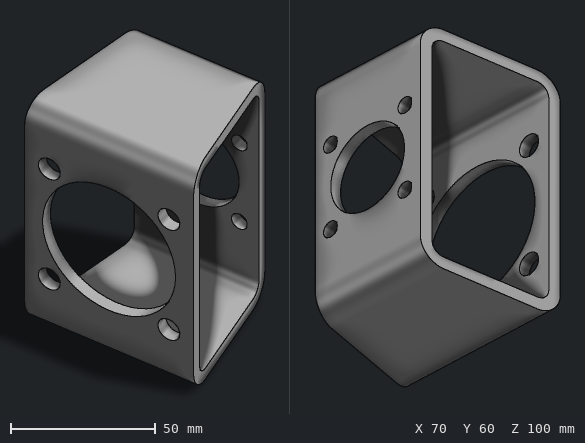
import cadquery as cq
import math

depth = 60.0
height = 100.0
wall = 5.0
outer_radius = 10.0
inner_radius = outer_radius - wall

front_width = 70.0
back_width = 50.0

front_bore = 55.0
front_hole = 9.0
front_bolt_circle = 70.0

back_bore = 35.0
back_hole = 6.5
back_bolt_circle = 50.0


def rounded_bar(bar_depth, bar_height, radius):
    """Bar along X, as long as the front wall, with rounded long edges."""
    return cq.Workplane("XY").box(front_width, bar_depth, bar_height).edges("|X").fillet(radius)


def wall_cutter(y_start, bore, hole, bolt_circle):
    """Bore and four diagonal bolt holes through one wall, from y_start towards +Y."""
    pitch = bolt_circle / math.sqrt(2)
    plane = cq.Workplane("XZ").workplane(offset=-y_start)
    center_opening = plane.circle(bore / 2).extrude(-wall)
    bolt_holes = plane.rarray(pitch, pitch, 2, 2).circle(hole / 2).extrude(-wall)
    return center_opening.union(bolt_holes)


outer_bar = rounded_bar(depth, height, outer_radius)
inner_bar = rounded_bar(depth - 2 * wall, height - 2 * wall, inner_radius)
tube = outer_bar.cut(inner_bar)

taper = (
    cq.Workplane("XY")
    .workplane(offset=-height / 2)
    .polyline([
        (-front_width / 2, -depth / 2),
        (front_width / 2, -depth / 2),
        (back_width / 2, depth / 2),
        (-back_width / 2, depth / 2),
    ])
    .close()
    .extrude(height)
)
body = tube.intersect(taper)

front_cutter = wall_cutter(-depth / 2, front_bore, front_hole, front_bolt_circle)
back_cutter = wall_cutter(depth / 2 - wall, back_bore, back_hole, back_bolt_circle)

result = body.cut(front_cutter).cut(back_cutter)